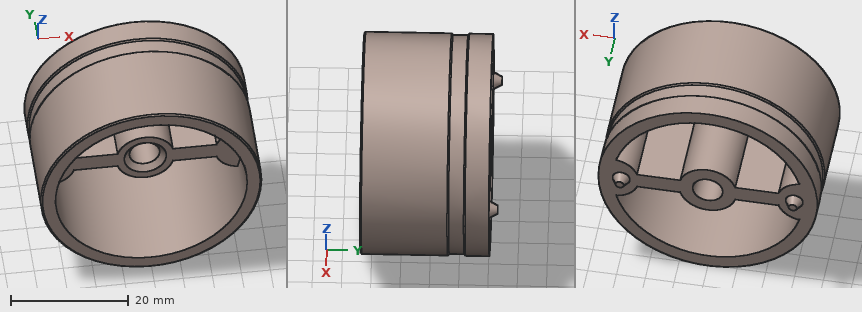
import cadquery as cq

outer_diameter = 38.0
inner_diameter = 33.0
ring_length = 22.0
edge_chamfer = 0.25

groove_offset = 4.03
groove_width = 3.08
groove_depth = 0.25

web_front = 7.98
boss_diameter = 10.0
spoke_thickness = 3.0
pad_radius = 4.5

hole_diameter = 5.2
countersink_diameter = 7.22

pin_spacing = 30.02
pin_base_diameter = 3.0
pin_tip_diameter = 1.4
pin_height = 1.5

outer_radius = outer_diameter / 2
inner_radius = inner_diameter / 2
groove_radius = outer_radius - groove_depth
groove_back = ring_length - groove_offset
groove_front = groove_back - groove_width
web_depth = ring_length - web_front
countersink_depth = (countersink_diameter - hole_diameter) / 2


def revolve_about_y(points):
    """Revolve a closed (radius, Y) outline into a solid about the Y axis."""
    return cq.Workplane("XY").polyline(points).close().revolve(360, (0, 0, 0), (0, 1, 0))


def web_plane():
    """Plane of the web's front face; a negative extrusion runs towards the back."""
    return cq.Workplane("XZ", origin=(0, web_front, 0))


def make_ring():
    """Ring wall with its chamfered front edge and outer groove."""
    return revolve_about_y([
        (inner_radius, 0),
        (outer_radius - edge_chamfer, 0),
        (outer_radius, edge_chamfer),
        (outer_radius, groove_front),
        (groove_radius, groove_front + groove_depth),
        (groove_radius, groove_back - groove_depth),
        (outer_radius, groove_back),
        (outer_radius, ring_length),
        (inner_radius, ring_length),
    ])


def make_web():
    """Boss, spoke and end pads, trimmed so that they end within the ring wall."""
    boss = web_plane().circle(boss_diameter / 2).extrude(-web_depth)
    spoke = web_plane().rect(outer_diameter, spoke_thickness).extrude(-web_depth)
    pads = (
        web_plane()
        .pushPoints([(-inner_radius, 0), (inner_radius, 0)])
        .circle(pad_radius)
        .extrude(-web_depth)
    )
    wall_middle_radius = (inner_radius + groove_radius) / 2
    envelope = web_plane().circle(wall_middle_radius).extrude(-web_depth)
    return boss.union(spoke).union(pads).intersect(envelope)


def make_boss_hole():
    """Cutter for the through hole and its countersink."""
    return revolve_about_y([
        (0, web_front),
        (countersink_diameter / 2, web_front),
        (hole_diameter / 2, web_front + countersink_depth),
        (hole_diameter / 2, ring_length),
        (0, ring_length),
    ])


def make_pin(x):
    """Tapered pin standing on the back face at the given X."""
    pin = revolve_about_y([
        (0, 0),
        (pin_base_diameter / 2, 0),
        (pin_tip_diameter / 2, pin_height),
        (0, pin_height),
    ])
    return pin.translate((x, ring_length, 0))


result = make_ring().union(make_web()).cut(make_boss_hole())
for pin_x in (-pin_spacing / 2, pin_spacing / 2):
    result = result.union(make_pin(pin_x))